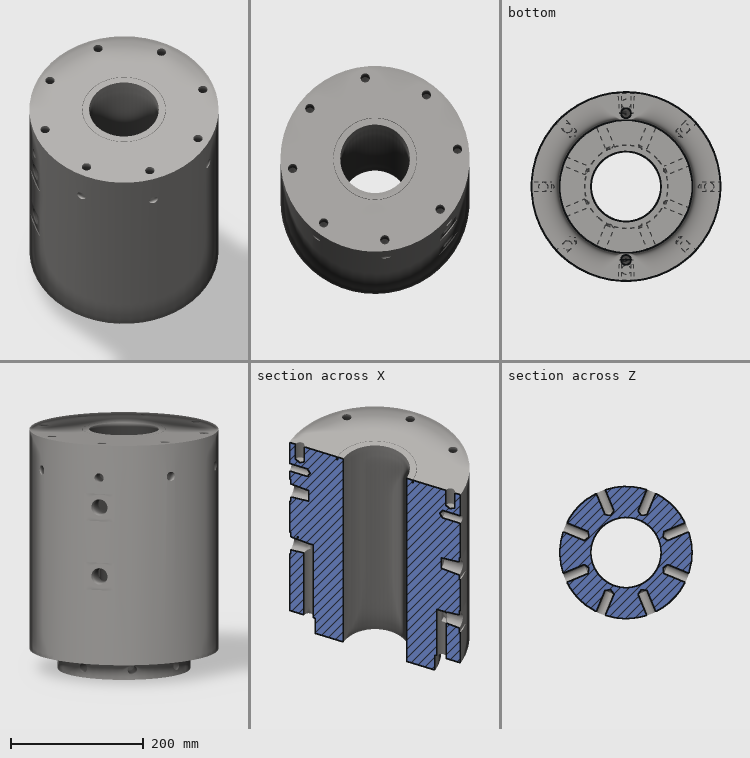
import cadquery as cq
import math

BODY_DIAMETER = 285.0
TOTAL_HEIGHT = 366.0
COLLAR_DIAMETER = 200.0
COLLAR_HEIGHT = 30.0
BORE_DIAMETER = 105.0
GROOVE_OUTER_DIAMETER = 126.0
GROOVE_WIDTH = 0.5
GROOVE_DEPTH = 5.0

BOLT_COUNT = 8
BOLT_HOLE_DIAMETER = 14.0
BOLT_HOLE_DEPTH = 30.0
COLLAR_HOLE_DEPTH = 35.0
DRILL_TIP_ANGLE = 118.0
TOP_BOLT_CIRCLE_RADIUS = 125.0
SIDE_HOLE_DROP = 50.0

FLAT_WIDTH = 50.0
FLAT_HEIGHT = 42.0
FLAT_DEPTH = 2.0
PORT_MOUTH_DIAMETER = 25.0
PORT_FLOOR_DIAMETER = 20.0
PORT_DEPTH = 30.0
PORT_SPACING = 105.5
FRONT_UPPER_PORT_DROP = 95.5
BACK_PORT_OFFSET = PORT_SPACING / 2
CHANNEL_DIAMETER = 15.0

BODY_RADIUS = BODY_DIAMETER / 2
COLLAR_RADIUS = COLLAR_DIAMETER / 2
HOLE_PITCH_ANGLE = 360.0 / BOLT_COUNT
FLAT_DISTANCE = BODY_RADIUS - FLAT_DEPTH
PORT_FLOOR_DISTANCE = FLAT_DISTANCE - PORT_DEPTH

Z_AXIS = cq.Vector(0, 0, 1)


def make_disc(diameter, bottom_z, top_z):
    """Solid disc on the part axis between two heights."""
    return cq.Workplane("XY").workplane(offset=bottom_z).circle(diameter / 2).extrude(top_z - bottom_z)


def make_blank():
    """Body and bottom collar with the through bore."""
    collar = make_disc(COLLAR_DIAMETER, 0, COLLAR_HEIGHT)
    body = make_disc(BODY_DIAMETER, COLLAR_HEIGHT, TOTAL_HEIGHT)
    bore = make_disc(BORE_DIAMETER, 0, TOTAL_HEIGHT)
    return collar.union(body).cut(bore)


def cut_top_groove(part):
    """Narrow ring groove in the top face, around the mouth of the bore."""
    floor_z = TOTAL_HEIGHT - GROOVE_DEPTH
    outer = make_disc(GROOVE_OUTER_DIAMETER, floor_z, TOTAL_HEIGHT)
    inner = make_disc(GROOVE_OUTER_DIAMETER - 2 * GROOVE_WIDTH, floor_z, TOTAL_HEIGHT)
    return part.cut(outer.cut(inner))


def drilled_hole(start, direction, depth):
    """Cutter for a blind hole: a cylinder of the given depth ending in a drill tip."""
    radius = BOLT_HOLE_DIAMETER / 2
    tip_length = radius / math.tan(math.radians(DRILL_TIP_ANGLE / 2))
    shank = cq.Solid.makeCylinder(radius, depth, start, direction)
    tip = cq.Solid.makeCone(radius, 0, tip_length, start + direction * depth, direction)
    return shank.fuse(tip)


def radial_direction(angle):
    """Unit vector pointing outward at the given angle in degrees."""
    return cq.Vector(math.cos(math.radians(angle)), math.sin(math.radians(angle)), 0)


def radial_hole(angle, surface_radius, z, depth):
    """Cutter for a blind hole drilled toward the axis from a cylindrical surface."""
    outward = radial_direction(angle)
    return drilled_hole(outward * surface_radius + Z_AXIS * z, outward * -1, depth)


def cut_bolt_holes(part):
    """Rings of holes in the top face, the body side and the collar side."""
    for index in range(BOLT_COUNT):
        angle = index * HOLE_PITCH_ANGLE
        top_start = radial_direction(angle) * TOP_BOLT_CIRCLE_RADIUS + Z_AXIS * TOTAL_HEIGHT
        part = part.cut(cq.Workplane(drilled_hole(top_start, Z_AXIS * -1, BOLT_HOLE_DEPTH)))

        side = radial_hole(angle, BODY_RADIUS, TOTAL_HEIGHT - SIDE_HOLE_DROP, BOLT_HOLE_DEPTH)
        part = part.cut(cq.Workplane(side))

        collar_angle = angle + HOLE_PITCH_ANGLE / 2
        collar = radial_hole(collar_angle, COLLAR_RADIUS, COLLAR_HEIGHT / 2, COLLAR_HOLE_DEPTH)
        part = part.cut(cq.Workplane(collar))
    return part


def cut_port(part, side, z):
    """Flat and tapered port at height z; side is -1 for -Y and +1 for +Y."""
    flat = cq.Workplane("XY").box(FLAT_WIDTH, 2 * FLAT_DEPTH, FLAT_HEIGHT)
    flat = flat.translate((0, side * BODY_RADIUS, z))
    port = cq.Solid.makeCone(
        PORT_MOUTH_DIAMETER / 2,
        PORT_FLOOR_DIAMETER / 2,
        PORT_DEPTH,
        cq.Vector(0, side * FLAT_DISTANCE, z),
        cq.Vector(0, -side, 0),
    )
    return part.cut(flat).cut(cq.Workplane(port))


def cut_channel(part, side, top_z):
    """Vertical channel from the body underside up to the top of a port's floor."""
    channel = cq.Solid.makeCylinder(
        CHANNEL_DIAMETER / 2,
        top_z - COLLAR_HEIGHT,
        cq.Vector(0, side * PORT_FLOOR_DISTANCE, COLLAR_HEIGHT),
        Z_AXIS,
    )
    return part.cut(cq.Workplane(channel))


def cut_ports(part):
    """Upper and lower port on each side; a channel leads down from each lower port."""
    front_upper_z = TOTAL_HEIGHT - FRONT_UPPER_PORT_DROP
    for side, upper_z in ((-1, front_upper_z), (1, front_upper_z - BACK_PORT_OFFSET)):
        lower_z = upper_z - PORT_SPACING
        part = cut_port(part, side, upper_z)
        part = cut_port(part, side, lower_z)
        part = cut_channel(part, side, lower_z + PORT_FLOOR_DIAMETER / 2)
    return part


result = make_blank()
result = cut_top_groove(result)
result = cut_bolt_holes(result)
result = cut_ports(result)